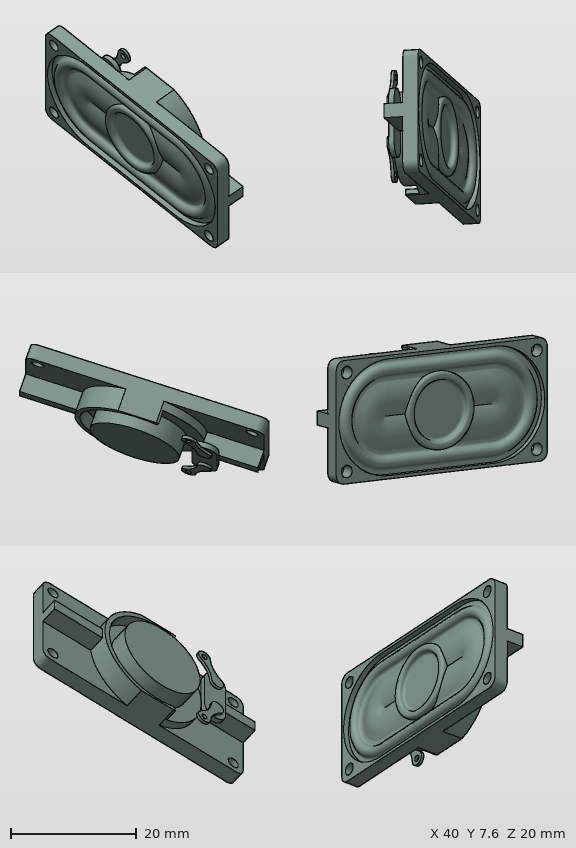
import cadquery as cq
import math


flange_length = 40.0
flange_height = 20.0
flange_back = 2.5
flange_corner_radius = 1.5
screw_hole_diameter = 2.0
screw_hole_inset = 2.0
basket_radius = 10.5
basket_floor = 4.0
wall_inner_radius = 9.6
wall_back = 6.3
window_half_angle = 70.0
arm_width = 2.3
arm_back = 5.6

end_center = 10.05
membrane_radius = 9.45
ledge_depth = 1.0
membrane_back = 1.5
roll_center_radius = 7.5
roll_radius = 1.0
blend_radius = 0.5
arch_width = 5.6
arch_rise = 0.65

cap_rim_radius = 5.85
cap_rim_width = 0.35
cap_round = 0.5

magnet_radius = 7.5
magnet_back = 7.6

board_width = 4.2
board_length = 11.2
board_center_x = -11.35
board_back = 6.5

lug_back = 7.0
lug_end_radius = 1.2
lug_foot = (-11.45, 3.4)
lug_eye = (-8.85, 7.92)
lug_waist_radius = 5.0
lug_hole_diameter = 1.0


def plane_at(y):
    """Workplane facing -Y at depth y, with local x along X and local y along Z."""
    return cq.Workplane(cq.Plane(origin=(0, y, 0), xDir=(1, 0, 0), normal=(0, -1, 0)))


def extrude_back(sketch, front, back):
    """Extrude an outline drawn at depth front rearward to depth back."""
    return sketch.extrude(front - back)


def disc(radius, front, back):
    return extrude_back(plane_at(front).circle(radius), front, back)


def box(x_min, x_max, height, front, back):
    outline = plane_at(front).center((x_min + x_max) / 2, 0).rect(x_max - x_min, height)
    return extrude_back(outline, front, back)


def stadium(radius, front, back):
    length = 2 * (end_center + radius)
    return extrude_back(plane_at(front).slot2D(length, 2 * radius), front, back)


def make_basket_wall():
    """Round wall, open toward -X where the lugs reach in."""
    wall = disc(basket_radius, basket_floor, wall_back)
    wall = wall.cut(disc(wall_inner_radius, basket_floor, wall_back))
    reach = 2 * basket_radius
    rise = reach * math.tan(math.radians(window_half_angle))
    window = plane_at(basket_floor).polyline([(0, 0), (-reach, rise), (-reach, -rise)]).close()
    return wall.cut(extrude_back(window, basket_floor, wall_back))


def make_arms():
    """Ribs from the basket to both ends of the flange, along the X axis."""
    half_length = flange_length / 2
    arms = box(-half_length, half_length, arm_width, flange_back, arm_back)
    return arms.cut(disc(basket_radius, flange_back, arm_back))


def make_frame():
    flange = box(-flange_length / 2, flange_length / 2, flange_height, 0, flange_back)
    flange = flange.edges("|Y").fillet(flange_corner_radius)
    basket = disc(basket_radius, flange_back, basket_floor).union(make_basket_wall())
    envelope = box(-basket_radius, basket_radius, flange_height, flange_back, wall_back)
    basket = basket.intersect(envelope)
    frame = flange.union(basket).union(make_arms())
    hole_spacing_x = flange_length - 2 * screw_hole_inset
    hole_spacing_z = flange_height - 2 * screw_hole_inset
    holes = plane_at(0).rect(hole_spacing_x, hole_spacing_z, forConstruction=True).vertices()
    holes = extrude_back(holes.circle(screw_hole_diameter / 2), 0, flange_back)
    return frame.cut(holes).cut(stadium(membrane_radius, 0, membrane_back))


def ledge_blend(curve_center, curve_depth, curve_radius, side):
    """Blend arc from a bulge down to the ledge, on the outer (1) or inner (-1) side of the bulge.

    Gives three (radius, depth) points: where it leaves the bulge, its middle and its end on the ledge.
    """
    center_distance = curve_radius + blend_radius
    center_drop = ledge_depth - blend_radius - curve_depth
    reach = math.sqrt(center_distance**2 - center_drop**2)
    share = curve_radius / center_distance
    half_turn = math.atan2(reach, -center_drop) / 2
    start = (curve_center + side * reach * share, curve_depth + center_drop * share)
    middle = (
        curve_center + side * (reach - blend_radius * math.sin(half_turn)),
        ledge_depth - blend_radius * (1 - math.cos(half_turn)),
    )
    end = (curve_center + side * reach, ledge_depth)
    return start, middle, end


def membrane_section(plane):
    """Half section of the membrane: local x runs outward from the middle, local y is depth."""
    arch_center = arch_width / 2
    arch_top = ledge_depth - arch_rise
    arch_radius = (arch_center**2 + arch_rise**2) / (2 * arch_rise)
    foot_start, foot_middle, foot_end = ledge_blend(arch_center, arch_top + arch_radius, arch_radius, 1)

    roll_top = ledge_depth - roll_radius
    inner_start, inner_middle, inner_end = ledge_blend(roll_center_radius, ledge_depth, roll_radius, -1)
    outer_start, outer_middle, outer_end = ledge_blend(roll_center_radius, ledge_depth, roll_radius, 1)

    return (
        plane.moveTo(0, membrane_back)
        .lineTo(0, ledge_depth)
        .threePointArc((arch_center, arch_top), foot_start)
        .threePointArc(foot_middle, foot_end)
        .lineTo(*inner_end)
        .threePointArc(inner_middle, inner_start)
        .threePointArc((roll_center_radius, roll_top), outer_start)
        .threePointArc(outer_middle, outer_end)
        .lineTo(membrane_radius, ledge_depth)
        .lineTo(membrane_radius, membrane_back)
        .close()
    )


def make_dust_cap():
    """Raised rim around a sunken flat disc, turned about the Y axis."""
    diagonal = cap_round * math.sqrt(0.5)
    outer = cap_rim_radius + cap_round
    rim_inner = cap_rim_radius - cap_rim_width
    waist = rim_inner - cap_round
    floor_radius = waist - cap_round
    floor_depth = 2 * cap_round
    section = (
        cq.Workplane("XY")
        .moveTo(0, membrane_back)
        .lineTo(0, floor_depth)
        .lineTo(floor_radius, floor_depth)
        .threePointArc(
            (floor_radius + diagonal, cap_round + diagonal),
            (waist, cap_round),
        )
        .threePointArc(
            (rim_inner - diagonal, cap_round - diagonal),
            (rim_inner, 0),
        )
        .lineTo(cap_rim_radius, 0)
        .threePointArc(
            (cap_rim_radius + diagonal, cap_round - diagonal),
            (outer, cap_round),
        )
        .lineTo(outer, membrane_back)
        .close()
    )
    return section.revolve(360, (0, 0), (0, 1))


def make_membrane():
    profile_plane = cq.Plane(origin=(-end_center, 0, 0), xDir=(0, 0, 1), normal=(-1, 0, 0))
    upper = membrane_section(cq.Workplane(profile_plane)).extrude(-2 * end_center)
    membrane = upper.union(upper.mirror("XY"))
    left_end = membrane_section(cq.Workplane(profile_plane)).revolve(180, (0, 0), (0, -1))
    membrane = membrane.union(left_end).union(left_end.mirror("YZ"))
    cap_opening = disc(cap_rim_radius - cap_rim_width / 2, 0, membrane_back)
    return membrane.cut(cap_opening).union(make_dust_cap())


def make_magnet():
    return disc(magnet_radius, basket_floor, magnet_back)


def make_terminal_board():
    outline = plane_at(arm_back).center(board_center_x, 0).slot2D(board_length, board_width, 90)
    return extrude_back(outline, arm_back, board_back)


def make_lug(side):
    """Dog-bone lug above (side = 1) or below (side = -1) the X axis."""
    foot_x, foot_z = lug_foot
    eye_x, eye_z = lug_eye
    length = math.hypot(eye_x - foot_x, eye_z - foot_z)
    tilt = math.degrees(math.atan2(eye_z - foot_z, eye_x - foot_x))
    half_length = length / 2
    waist_offset = math.sqrt((lug_waist_radius + lug_end_radius) ** 2 - half_length**2)
    share = lug_end_radius / (lug_waist_radius + lug_end_radius)
    touch_x = half_length * share
    touch_z = waist_offset * share
    waist_half = waist_offset - lug_waist_radius
    outline = (
        plane_at(board_back)
        .moveTo(touch_x, touch_z)
        .threePointArc((half_length, waist_half), (length - touch_x, touch_z))
        .threePointArc((length + lug_end_radius, 0), (length - touch_x, -touch_z))
        .threePointArc((half_length, -waist_half), (touch_x, -touch_z))
        .threePointArc((-lug_end_radius, 0), (touch_x, touch_z))
        .close()
    )
    lug = extrude_back(outline, board_back, lug_back)
    hole = plane_at(board_back).center(length, 0).circle(lug_hole_diameter / 2)
    lug = lug.cut(extrude_back(hole, board_back, lug_back))
    lug = lug.rotate((0, 0, 0), (0, -1, 0), tilt).translate((foot_x, 0, foot_z))
    return lug if side > 0 else lug.mirror("XY")


frame = make_frame()
membrane = make_membrane()
magnet = make_magnet()
terminal_board = make_terminal_board()
lugs = [make_lug(side) for side in (1, -1)]

result = cq.Compound.makeCompound(
    [
        frame.val(),
        membrane.val(),
        magnet.val(),
        terminal_board.val(),
        *[lug.val() for lug in lugs],
    ]
)